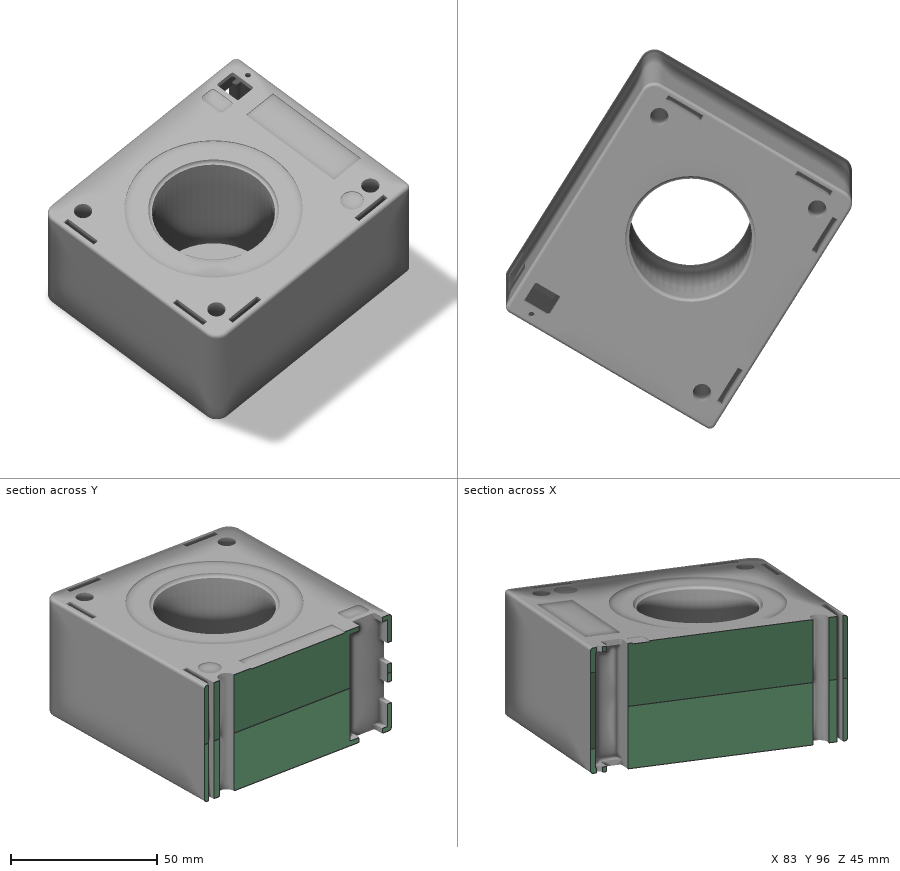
import cadquery as cq

length = 96.0
width = 83.0
height = 45.0
wall = 2.0
front_corner_radius = 5.0
rear_corner_radius = 2.0
rim_radius = 1.2
seam_z = height / 2

bore_x = width / 2
bore_y = 41.5
bore_radius = 21.0
bore_rim_radius = 1.2
ring_radius = 30.4
recess_depth = 0.4

mount_diameter = 6.2
mount_inset = 10.0
mount_rear_y = 86.0

slot_length = 14.2
slot_width = 2.1
front_slot_inset = 1.8
front_slot_xs = (15.7, 67.4)
side_slot_inset = 1.9
side_slot_ys = (16.7, 79.1)

nameplate_width = 41.6
nameplate_length = 13.2
nameplate_y = 85.9
mark_length = 6.2
mark_y = 77.0
mark_radius = 1.4
primary_mark_diameter = 8.1

terminal_x = 9.2
chamber_end_x = 2 * terminal_x
chamber_front_y = 82.0
access_width = 10.1
access_length = 7.9
opening_radius = 0.8
window_height = 8.2
window_offset = 7.7
seal_hole_diameter = 2.0
seal_hole_x = 8.9
seal_hole_y = 92.5

cover_height = 27.1
cover_front_y = 91.8
cover_wing_width = 4.0
cover_front_radius = 1.1


def box(x_min, x_max, y_min, y_max, z_min, z_max):
    """Block between two corners."""
    size = (x_max - x_min, y_max - y_min, z_max - z_min)
    return cq.Workplane("XY").box(*size, centered=False).translate((x_min, y_min, z_min))


def upright_box(x_size, y_size, x, y, z_min, z_max):
    """Block centred on x, y."""
    half_x = x_size / 2
    half_y = y_size / 2
    return box(x - half_x, x + half_x, y - half_y, y + half_y, z_min, z_max)


def upright_cylinder(diameter, x, y, z_min, z_max):
    return cq.Workplane("XY", origin=(x, y, z_min)).circle(diameter / 2).extrude(z_max - z_min)


def rounded_block():
    """Outer block with rounded upright corners."""
    block = box(0, width, 0, length, 0, height)
    block = block.edges("|Z and <Y").fillet(front_corner_radius)
    return block.edges("|Z and >Y").fillet(rear_corner_radius)


def cut_bore(casing):
    """Ring recess and through bore, rounded at both mouths."""
    recess_floor = height - recess_depth
    mouth_radius = bore_radius + bore_rim_radius
    ring = upright_cylinder(2 * ring_radius, bore_x, bore_y, recess_floor, height)
    section = (
        cq.Workplane("XZ", origin=(bore_x, bore_y, 0))
        .lineTo(mouth_radius, 0)
        .radiusArc((bore_radius, bore_rim_radius), -bore_rim_radius)
        .lineTo(bore_radius, recess_floor - bore_rim_radius)
        .radiusArc((mouth_radius, recess_floor), -bore_rim_radius)
        .lineTo(0, recess_floor)
        .close()
    )
    return casing.cut(ring).cut(section.revolve(360, (0, 0), (0, 1)))


def cut_mounting_holes(casing):
    right_x = width - mount_inset
    for x, y in ((mount_inset, mount_inset), (right_x, mount_inset), (right_x, mount_rear_y)):
        casing = casing.cut(upright_cylinder(mount_diameter, x, y, 0, height))
    return casing


def cut_strap_slots(casing):
    front_y = front_slot_inset + slot_width / 2
    side_x = width - side_slot_inset - slot_width / 2
    for x in front_slot_xs:
        casing = casing.cut(upright_box(slot_length, slot_width, x, front_y, 0, height))
    for y in side_slot_ys:
        casing = casing.cut(upright_box(slot_width, slot_length, side_x, y, 0, height))
    return casing


def cut_label_recesses(casing):
    floor = height - recess_depth
    nameplate = upright_box(nameplate_width, nameplate_length, bore_x, nameplate_y, floor, height)
    mark = upright_box(access_width, mark_length, terminal_x, mark_y, floor, height)
    mark = mark.edges("|Z").fillet(mark_radius)
    primary_mark = upright_cylinder(primary_mark_diameter, width - mount_inset, mark_y, floor, height)
    return casing.cut(nameplate).cut(mark).cut(primary_mark)


def cut_terminal_chamber(casing):
    """Chamber with access openings above and below, a seal hole, two side windows and the cover seat."""
    chamber = box(wall, chamber_end_x, chamber_front_y, length - wall, wall, height - wall)
    access_y = chamber_front_y + access_length / 2
    access = upright_box(access_width, access_length, terminal_x, access_y, 0, height)
    access = access.edges("|Z").fillet(opening_radius)
    seal_hole = upright_cylinder(seal_hole_diameter, seal_hole_x, seal_hole_y, 0, height)
    casing = casing.cut(chamber).cut(access).cut(seal_hole)

    for middle_z in (seam_z - window_offset, seam_z + window_offset):
        bottom_z = middle_z - window_height / 2
        window = box(0, wall, chamber_front_y, cover_front_y, bottom_z, bottom_z + window_height)
        casing = casing.cut(window.edges("|X and <Y").fillet(opening_radius))

    seat_z = seam_z - cover_height / 2
    return casing.cut(box(0, chamber_end_x, cover_front_y, length, seat_z, seat_z + cover_height))


def make_casing():
    """Whole casing, before it is split at the seam."""
    casing = rounded_block().faces("<Z or >Z").edges().fillet(rim_radius)
    casing = cut_bore(casing)
    casing = cut_mounting_holes(casing)
    casing = cut_strap_slots(casing)
    casing = cut_label_recesses(casing)
    return cut_terminal_chamber(casing)


def make_cover():
    """Rear plate with a wing that wraps round the -X corner."""
    bottom_z = seam_z - cover_height / 2
    top_z = bottom_z + cover_height
    plate = box(0, chamber_end_x, length - wall, length, bottom_z, top_z)
    wing = box(0, cover_wing_width, cover_front_y, length, bottom_z, top_z)
    cover = plate.union(wing)
    cover = cover.edges("|Z and <X and >Y").fillet(rear_corner_radius)
    return cover.edges("|Z and <Y").fillet(cover_front_radius)


casing = make_casing()
lower_housing = casing.intersect(box(0, width, 0, length, 0, seam_z))
upper_housing = casing.intersect(box(0, width, 0, length, seam_z, height))
terminal_cover = make_cover()

result = cq.Compound.makeCompound([lower_housing.val(), upper_housing.val(), terminal_cover.val()])